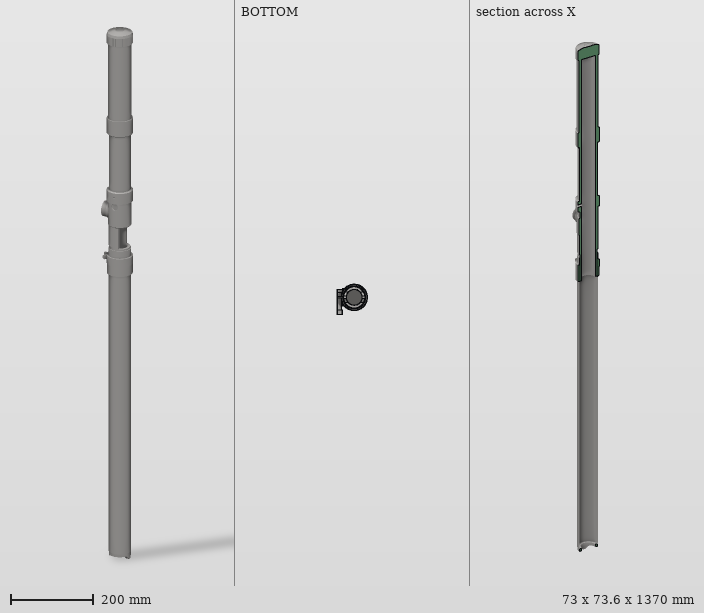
import cadquery as cq

TOTAL_WIDTH = 73.03
TOTAL_DEPTH = 73.57
TOTAL_HEIGHT = 1370.03

COLLAR_DIA = 63.5
HANDLE_DIA = 57.15
SHANK_DIA = 53.19
VALVE_DIA = 57.15
SHELL_DIA = 54.76
INNER_TUBE_DIA = 50.8
BARREL_DIA = 54.76
BORE_DIA = 38.1

DOME_HEIGHT = 4.5
RIM_HEIGHT = 6.5
RIM_TOP_Z = TOTAL_HEIGHT - DOME_HEIGHT
CAP_TOP_Z = RIM_TOP_Z - RIM_HEIGHT
CAP_BASE_Z = 1338.0
COUPLING_TOP_Z = 1143.0
COUPLING_BASE_Z = 1102.0
COLLAR_TOP_Z = 958.0
COLLAR_BASE_Z = 928.0
VALVE_BASE_Z = 864.0
SHELL_BASE_Z = 813.0
COLLAR_CHAMFER = 2.0
VALVE_CHAMFER = 2.5

BARREL_TOP_Z = 805.0
CLAMP_TOP_Z = 786.0
BAND_BASE_Z = 765.0
CLAMP_BASE_Z = 740.0
END_RING_TOP_Z = 17.0
END_RING_BASE_Z = 9.0

DOME_FLAT_DIA = 22.23
RIM_TOP_DIA = 60.33
DOME_BULGE_DIA = 42.0
DOME_BULGE_DROP = 1.5
DOME_RECESS_DEPTH = 1.0
KNURL_COUNT = 48
KNURL_SIZE = 2.0

SHELL_CUT_X = 0.0
WINDOW_CUT_X = 7.5
WINDOW_BASE_Z = 809.0

OUTER_LEFT_X = COLLAR_DIA / 2 - TOTAL_WIDTH
PORT_DIA = 38.1
PORT_BORE_DIA = 23.13
PORT_BORE_DEPTH = 8.0
PORT_Z = 899.0
PORT_BASE_DIA = 42.0
PORT_BASE_X = -28.3
SPOT_DIA = 17.48
SPOT_DEPTH = 3.0
SPOT_Z = COLLAR_BASE_Z - SPOT_DIA / 2
COLLAR_HOLE_DIA = 5.32
COLLAR_HOLE_Z = 945.0
COUPLING_HOLE_DIA = 7.52
COUPLING_HOLE_Z = 1134.0

CLAMP_SLEEVE_DIA = 62.5
BAND_START_Y = -12.0
BAND_END_Y = 25.0
SLIT_WIDTH = 4.06
PIN_DIA = 10.72
PIN_X = OUTER_LEFT_X + PIN_DIA / 2
PIN_Z = 777.0
PIN_START_Y = BAND_START_Y
PIN_END_Y = 31.0
PADDLE_END_Y = TOTAL_DEPTH - COLLAR_DIA / 2
PADDLE_THICKNESS = 2.0
PADDLE_WIDTH = 12.7
LUG_WIDTH = SLIT_WIDTH
LUG_HEIGHT = 17.48

END_RING_DIA = 53.19
FOOT_ROOT_WIDTH = 25.0
FOOT_TIP_WIDTH = 6.35


def cylinder(diameter, base_z, top_z):
    return cq.Workplane("XY").workplane(offset=base_z).circle(diameter / 2).extrude(top_z - base_z)


def box_between(x0, x1, y0, y1, z0, z1):
    return cq.Workplane("XY").box(x1 - x0, y1 - y0, z1 - z0, centered=False).translate((x0, y0, z0))


def x_cylinder(diameter, x0, x1, z):
    return cq.Workplane("YZ", origin=(x0, 0, z)).circle(diameter / 2).extrude(x1 - x0)


def minus_y_hole(diameter, surface_dia, depth, z):
    """Round cutter that enters a round surface from -Y, down to the given depth."""
    start = -surface_dia / 2 + depth
    return cq.Workplane("XZ", origin=(0, start, z)).circle(diameter / 2).extrude(COLLAR_DIA / 2)


def make_cap():
    """Knurled end cap with a domed top and a shallow round recess."""
    cap_radius = COLLAR_DIA / 2
    flat_radius = DOME_FLAT_DIA / 2
    bulge_point = (DOME_BULGE_DIA / 2, TOTAL_HEIGHT - DOME_BULGE_DROP)
    cap = (
        cq.Workplane("XZ")
        .moveTo(0, CAP_BASE_Z)
        .lineTo(cap_radius, CAP_BASE_Z)
        .lineTo(cap_radius, CAP_TOP_Z)
        .lineTo(RIM_TOP_DIA / 2, RIM_TOP_Z)
        .threePointArc(bulge_point, (flat_radius, TOTAL_HEIGHT))
        .lineTo(0, TOTAL_HEIGHT)
        .close()
        .revolve(360, (0, 0, 0), (0, 1, 0))
    )
    grooves = (
        cq.Workplane("XY")
        .workplane(offset=CAP_BASE_Z)
        .polarArray(cap_radius, 0, 360, KNURL_COUNT)
        .rect(KNURL_SIZE, KNURL_SIZE)
        .extrude(CAP_TOP_Z - CAP_BASE_Z)
    )
    recess = cylinder(DOME_FLAT_DIA, TOTAL_HEIGHT - DOME_RECESS_DEPTH, TOTAL_HEIGHT)
    return cap.cut(grooves).cut(recess)


def make_upper():
    """Capped handle, couplings, valve body and the windowed inner tube."""
    coupling = cylinder(COLLAR_DIA, COUPLING_BASE_Z, COUPLING_TOP_Z).faces("<Z").chamfer(COLLAR_CHAMFER)
    collar = cylinder(COLLAR_DIA, COLLAR_BASE_Z, COLLAR_TOP_Z).faces(">Z").chamfer(COLLAR_CHAMFER)
    half_shell = cylinder(SHELL_DIA, SHELL_BASE_Z, VALVE_BASE_Z + VALVE_CHAMFER).cut(
        box_between(SHELL_CUT_X, COLLAR_DIA, -COLLAR_DIA, COLLAR_DIA, SHELL_BASE_Z, COLLAR_BASE_Z)
    )
    valve_body = cylinder(VALVE_DIA, VALVE_BASE_Z, COLLAR_BASE_Z).faces("<Z").chamfer(VALVE_CHAMFER)
    upper = (
        cylinder(INNER_TUBE_DIA, CLAMP_BASE_Z, VALVE_BASE_Z)
        .union(half_shell)
        .union(valve_body)
        .union(x_cylinder(PORT_DIA, OUTER_LEFT_X, 0, PORT_Z))
        .union(x_cylinder(PORT_BASE_DIA, PORT_BASE_X, 0, PORT_Z))
        .union(collar)
        .union(cylinder(SHANK_DIA, COLLAR_TOP_Z, COUPLING_BASE_Z))
        .union(coupling)
        .union(cylinder(HANDLE_DIA, COUPLING_TOP_Z, CAP_BASE_Z))
        .union(make_cap())
    )
    window = box_between(WINDOW_CUT_X, COLLAR_DIA, -COLLAR_DIA, COLLAR_DIA, WINDOW_BASE_Z, VALVE_BASE_Z)
    wall = (COLLAR_DIA - BORE_DIA) / 2
    return (
        upper.cut(cylinder(BORE_DIA, CLAMP_BASE_Z, CAP_BASE_Z))
        .cut(window)
        .cut(x_cylinder(PORT_BORE_DIA, OUTER_LEFT_X, OUTER_LEFT_X + PORT_BORE_DEPTH, PORT_Z))
        .cut(minus_y_hole(SPOT_DIA, VALVE_DIA, SPOT_DEPTH, SPOT_Z))
        .cut(minus_y_hole(COLLAR_HOLE_DIA, COLLAR_DIA, wall, COLLAR_HOLE_Z))
        .cut(x_cylinder(COUPLING_HOLE_DIA, -COLLAR_DIA / 2, -BORE_DIA / 2, COUPLING_HOLE_Z))
    )


def make_clamp():
    """Split sleeve, open band, cross pin and flat lever paddle."""
    sleeve = cylinder(CLAMP_SLEEVE_DIA, CLAMP_BASE_Z, BAND_BASE_Z)
    band = cylinder(COLLAR_DIA, BAND_BASE_Z, CLAMP_TOP_Z).cut(
        box_between(-COLLAR_DIA, 0, BAND_START_Y, BAND_END_Y, BAND_BASE_Z, CLAMP_TOP_Z)
    )
    slit = box_between(-COLLAR_DIA, 0, -SLIT_WIDTH / 2, SLIT_WIDTH / 2, CLAMP_BASE_Z, BAND_BASE_Z)
    lug = box_between(
        OUTER_LEFT_X,
        -INNER_TUBE_DIA / 2,
        -LUG_WIDTH / 2,
        LUG_WIDTH / 2,
        PIN_Z - LUG_HEIGHT / 2,
        PIN_Z + LUG_HEIGHT / 2,
    )
    pin = (
        cq.Workplane("XZ", origin=(PIN_X, PIN_END_Y, PIN_Z))
        .circle(PIN_DIA / 2)
        .extrude(PIN_END_Y - PIN_START_Y)
    )
    paddle = box_between(
        OUTER_LEFT_X,
        OUTER_LEFT_X + PADDLE_WIDTH,
        PIN_END_Y,
        PADDLE_END_Y,
        PIN_Z - PADDLE_THICKNESS / 2,
        PIN_Z + PADDLE_THICKNESS / 2,
    )
    return sleeve.cut(slit).union(band).union(lug).union(pin).union(paddle)


def make_feet():
    """Two pointed feet left standing on opposite sides of the end ring."""
    outline = (
        cq.Workplane("YZ", origin=(-END_RING_DIA / 2, 0, 0))
        .moveTo(-FOOT_ROOT_WIDTH / 2, END_RING_BASE_Z)
        .lineTo(-FOOT_TIP_WIDTH / 2, 0)
        .lineTo(FOOT_TIP_WIDTH / 2, 0)
        .lineTo(FOOT_ROOT_WIDTH / 2, END_RING_BASE_Z)
        .close()
        .extrude(END_RING_DIA)
    )
    return outline.intersect(cylinder(END_RING_DIA, 0, END_RING_BASE_Z))


def make_barrel():
    """Long lower tube with its clamp, end ring and feet."""
    end_ring = cylinder(END_RING_DIA, END_RING_BASE_Z, END_RING_TOP_Z)
    return (
        cylinder(BARREL_DIA, END_RING_TOP_Z, BARREL_TOP_Z)
        .union(make_clamp())
        .cut(cylinder(INNER_TUBE_DIA, END_RING_TOP_Z, BARREL_TOP_Z))
        .union(end_ring.union(make_feet()).cut(cylinder(BORE_DIA, 0, END_RING_TOP_Z)))
    )


upper = make_upper()
barrel = make_barrel()
result = cq.Compound.makeCompound([upper.val(), barrel.val()])